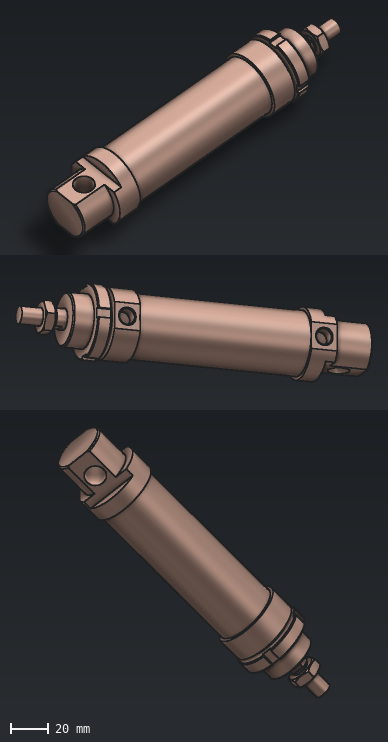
import cadquery as cq
import math


total_length = 199.0
collar_length = 15.0
rear_collar_start = 22.0
rear_collar_end = rear_collar_start + collar_length
front_collar_start = 136.0
front_collar_end = front_collar_start + collar_length
ring_start = 153.2
ring_length = 8.0
ring_end = ring_start + ring_length
snout_end = 173.1
shoulder_end = 179.1
nut_start = 180.7
nut_length = 6.0

tube_diameter = 36.0
collar_diameter = 40.0
snout_diameter = 30.0
snout_chamfer = 0.8
clevis_thickness = 25.9
clevis_flat_length = 27.5
clevis_hole_diameter = 12.0
clevis_hole_position = 14.1

port_flat_width = 15.0
port_flat_distance = math.sqrt(collar_diameter**2 - port_flat_width**2) / 2
port_diameter = 8.8
port_mouth_diameter = 10.0
port_mouth_chamfer = (port_mouth_diameter - port_diameter) / 2
port_depth = 8.0

ring_diameter = 42.0
ring_chamfer = 0.5
ring_notch_width = 5.4
ring_notch_depth = 2.0
ring_notch_count = 4

rod_diameter = 12.0
thread_diameter = 10.0
neck_diameter = 9.2
wrench_flat_size = 10.0
wrench_flat_length = 3.5
wrench_flat_depth = (rod_diameter - wrench_flat_size) / 2

nut_across_flats = 17.0
nut_across_corners = nut_across_flats / math.cos(math.pi / 6)
nut_rear_face_diameter = 16.1
nut_front_face_diameter = 17.5
nut_chamfer_angle = math.radians(30)

cut_margin = 2.0


def cylinder(diameter, start, end):
    """Cylinder on the Y axis between two stations."""
    return cq.Workplane("XZ", origin=(0, start, 0)).circle(diameter / 2).extrude(start - end)


def port_cutter(position):
    """Blind port with a countersunk mouth, entering from the -X side."""
    profile = [
        (0, 0),
        (port_mouth_diameter / 2, 0),
        (port_diameter / 2, port_mouth_chamfer),
        (port_diameter / 2, port_depth),
        (0, port_depth),
    ]
    drill = cq.Workplane("XY").polyline(profile).close().revolve(360, (0, 0, 0), (0, 1, 0))
    drill = drill.rotate((0, 0, 0), (0, 0, 1), -90)
    return drill.translate((-port_flat_distance, position, 0))


def make_collar(start, end):
    """Collar with a port flat on its -X side."""
    flat_cut = cq.Workplane("XY").box(
        collar_diameter, collar_length + 2 * cut_margin, collar_diameter
    ).translate((-port_flat_distance - collar_diameter / 2, (start + end) / 2, 0))
    return cylinder(collar_diameter, start, end).cut(flat_cut)


def make_housing():
    """Tube, collars, front snout and rear clevis in one piece."""
    snout_and_clevis = cylinder(snout_diameter, 0, snout_end).faces("<Y or >Y").chamfer(snout_chamfer)
    housing = snout_and_clevis.union(cylinder(tube_diameter, rear_collar_end, front_collar_start))
    collars = (
        (rear_collar_start, rear_collar_end),
        (front_collar_start, front_collar_end),
    )
    for start, end in collars:
        housing = housing.union(make_collar(start, end))
        housing = housing.cut(port_cutter((start + end) / 2))

    for side in (-1, 1):
        flat_cut = cq.Workplane("XY").box(
            collar_diameter + cut_margin, 2 * clevis_flat_length, collar_diameter
        ).translate((0, 0, side * (clevis_thickness + collar_diameter) / 2))
        housing = housing.cut(flat_cut)

    clevis_hole = (
        cq.Workplane("XY")
        .center(0, clevis_hole_position)
        .circle(clevis_hole_diameter / 2)
        .extrude(clevis_thickness, both=True)
    )
    rod_bore = cylinder(rod_diameter, front_collar_start, snout_end + cut_margin)
    return housing.cut(clevis_hole).cut(rod_bore)


def make_ring():
    """Slotted mounting ring around the snout."""
    ring = cylinder(ring_diameter, ring_start, ring_end).faces("<Y or >Y").chamfer(ring_chamfer)
    ring = ring.cut(cylinder(snout_diameter, ring_start, ring_end))
    notch_floor = ring_diameter / 2 - ring_notch_depth
    notch = cq.Workplane("XY").box(
        ring_notch_width, ring_length + 2 * cut_margin, ring_notch_depth + cut_margin
    ).translate((0, (ring_start + ring_end) / 2, notch_floor + (ring_notch_depth + cut_margin) / 2))
    for index in range(ring_notch_count):
        ring = ring.cut(notch.rotate((0, 0, 0), (0, 1, 0), index * 360 / ring_notch_count))
    return ring


def make_rod():
    """Piston rod with wrench flats, a neck and a threaded tip."""
    rod = cylinder(rod_diameter, front_collar_start, shoulder_end)
    rod = rod.union(cylinder(neck_diameter, shoulder_end, nut_start))
    rod = rod.union(cylinder(thread_diameter, nut_start, total_length))

    flat_end = shoulder_end - wrench_flat_length
    flat_height = wrench_flat_size / 2
    flat_profile = [
        (shoulder_end, flat_height),
        (flat_end, flat_height),
        (flat_end - wrench_flat_depth, rod_diameter / 2),
        (shoulder_end, rod_diameter / 2),
    ]
    flat_cut = cq.Workplane("YZ").polyline(flat_profile).close().extrude(rod_diameter, both=True)
    return rod.cut(flat_cut).cut(flat_cut.mirror("XY"))


def make_nut():
    """Hex nut with flats facing up and down and chamfered corners."""
    nut = (
        cq.Workplane("XZ", origin=(0, nut_start, 0))
        .polygon(6, nut_across_corners)
        .extrude(-nut_length)
    )
    rear_radius = nut_rear_face_diameter / 2
    front_radius = nut_front_face_diameter / 2
    corner_radius = nut_across_corners / 2
    rear_drop = (corner_radius - rear_radius) * math.tan(nut_chamfer_angle)
    front_drop = (corner_radius - front_radius) * math.tan(nut_chamfer_angle)
    nut_end = nut_start + nut_length
    envelope = (
        cq.Workplane("XY")
        .polyline([
            (0, nut_start),
            (rear_radius, nut_start),
            (corner_radius, nut_start + rear_drop),
            (corner_radius, nut_end - front_drop),
            (front_radius, nut_end),
            (0, nut_end),
        ])
        .close()
        .revolve(360, (0, 0, 0), (0, 1, 0))
    )
    return nut.intersect(envelope).cut(cylinder(thread_diameter, nut_start, nut_end))


housing = make_housing()
ring = make_ring()
rod = make_rod()
nut = make_nut()

result = cq.Compound.makeCompound([housing.val(), ring.val(), rod.val(), nut.val()])